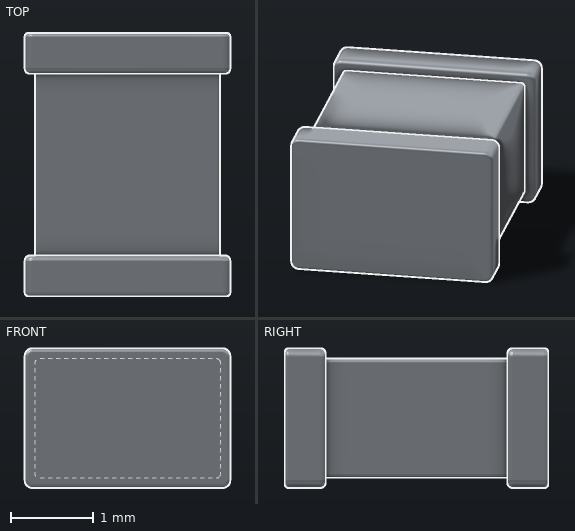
import cadquery as cq

width = 2.5
length = 3.2
height = 1.7

cap_length = 0.5
cap_side_radius = 0.1
cap_outer_rim_radius = 0.05
cap_inner_rim_radius = 0.07

body_recess = 0.125
body_edge_radius = 0.05


def back_cap():
    """Rounded block at the +Y end, with its inner rim on the -Y side."""
    block = cq.Workplane("XY").box(width, cap_length, height)
    block = block.edges("|Y").fillet(cap_side_radius)
    block = block.faces(">Y").edges().fillet(cap_outer_rim_radius)
    block = block.faces("<Y").edges().fillet(cap_inner_rim_radius)
    return block.translate((0, (length - cap_length) / 2, 0))


def body():
    """Rounded bar reaching to the middle of each cap."""
    bar = cq.Workplane("XY").box(
        width - 2 * body_recess,
        length - cap_length,
        height - 2 * body_recess,
    )
    return bar.edges("|Y").fillet(body_edge_radius)


cap = back_cap()
result = body().union(cap).union(cap.mirror("XZ"))